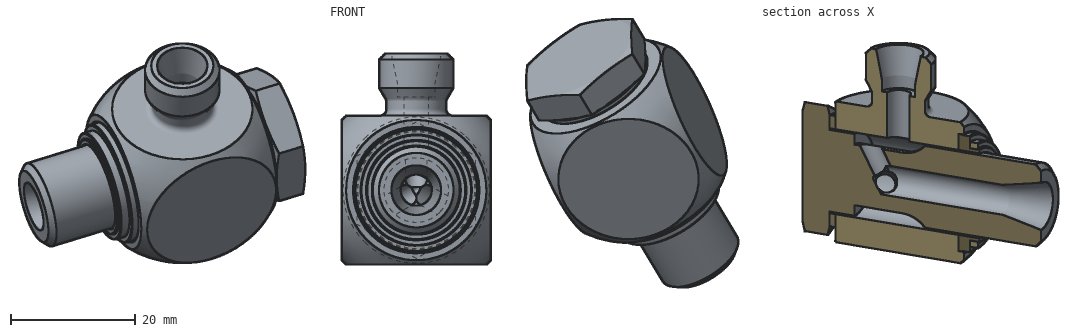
import cadquery as cq
import math


CUBE_SIDE = 24.0
HALF_SIDE = CUBE_SIDE / 2
BACK_FACE_Y = 11.53
CORNER_SPHERE_R = 16.5
BOLT_BORE_D = 14.35

STEM_TOP_Z = 22.0
STEM_COLLAR_D = 12.0
STEM_TOP_CHAMFER = 1.0
COLLAR_BOTTOM_Z = 16.5
STEM_NECK_D = 9.7
NECK_CONE_HALF_ANGLE = 30
NECK_CONE_BLEND_R = 0.8
STEM_ROOT_R = 1.0
PORT_D = 4.0

SEAT_HALF_ANGLE = 12
STEM_SEAT_MOUTH_D = 8.1
STEM_SEAT_D = 6.0
STEM_SEAT_DEPTH = 7.0

BOLT_FRONT_Y = -26.0
BOLT_BACK_Y = 17.5
SHANK_D = 14.0
SHANK_CHAMFER = 1.0
HEAD_FLATS = 19.05
HEAD_LENGTH = 5.0
HEAD_CHAMFER_ANGLE = 15
HEAD_FRONT_Y = BOLT_BACK_Y - HEAD_LENGTH

BOLT_SEAT_MOUTH_D = 8.0
BOLT_DRILL_D = 5.0
DRILL_TIP_HALF_ANGLE = 59
GROOVE_D = 10.4
GROOVE_FLOOR_FRONT_Y = -0.7
GROOVE_BACK_Y = 8.0
GROOVE_RAMP_R = 5.65
CROSS_HOLE_D = 3.5
CROSS_HOLE_COUNT = 3
CROSS_HOLE_TILT = 30
CROSS_HOLE_LENGTH = 7.18
CROSS_HOLE_START_Y = 2.0
DRILL_TIP_Y = CROSS_HOLE_START_Y + 2.6

FLANGE_D = 19.85
FLANGE_RECESS = 1.0
FLANGE_FRONT_Y = -13.1
RECESS_MOUTH_CHAMFER = 0.25
BUSH_NECK_D = 15.8
BUSH_FRONT_Y = -14.85
SEAL_D = 17.92
SEAL_FRONT_Y = -14.57
SEAL_BORE_CHAMFER = 0.195
WASHER_D = HEAD_FLATS
EDGE_CHAMFER = 0.15


def cylinder_y(diameter, y_start, y_end):
    """Solid cylinder on the Y axis."""
    sketch = cq.Workplane("XZ", origin=(0, y_start, 0)).circle(diameter / 2)
    return sketch.extrude(y_start - y_end)


def turn_about_y(profile):
    """Revolve an (x = radius, y) outline about the Y axis."""
    return profile.close().revolve(360, (0, 0, 0), (0, 1, 0))


def seat_cone_length(mouth_d, end_d):
    return (mouth_d - end_d) / 2 / math.tan(math.radians(SEAT_HALF_ANGLE))


def make_stem():
    """Pipe stem, turned about Z, with a necked-in root that flares into the housing top."""
    collar_r = STEM_COLLAR_D / 2
    neck_r = STEM_NECK_D / 2
    cone_angle = math.radians(NECK_CONE_HALF_ANGLE)
    cone_bottom_z = COLLAR_BOTTOM_Z - (collar_r - neck_r) / math.tan(cone_angle)
    blend = NECK_CONE_BLEND_R * math.tan(cone_angle / 2)
    blend_top = (neck_r + blend * math.sin(cone_angle), cone_bottom_z + blend * math.cos(cone_angle))
    blend_bottom = (neck_r, cone_bottom_z - blend)
    profile = (
        cq.Workplane("XZ")
        .lineTo(0, STEM_TOP_Z)
        .lineTo(collar_r - STEM_TOP_CHAMFER, STEM_TOP_Z)
        .lineTo(collar_r, STEM_TOP_Z - STEM_TOP_CHAMFER)
        .lineTo(collar_r, COLLAR_BOTTOM_Z)
        .lineTo(*blend_top)
        .radiusArc(blend_bottom, -NECK_CONE_BLEND_R)
        .lineTo(neck_r, HALF_SIDE + STEM_ROOT_R)
        .radiusArc((neck_r + STEM_ROOT_R, HALF_SIDE), -STEM_ROOT_R)
        .lineTo(neck_r + STEM_ROOT_R, 0)
    )
    return profile.close().revolve(360, (0, 0, 0), (0, 1, 0))


def make_stem_passage():
    """Conical pipe seat, straight pipe socket and the port down to the bolt bore."""
    seat_r = STEM_SEAT_D / 2
    cone_end_z = STEM_TOP_Z - seat_cone_length(STEM_SEAT_MOUTH_D, STEM_SEAT_D)
    floor_z = STEM_TOP_Z - STEM_SEAT_DEPTH
    profile = (
        cq.Workplane("XZ")
        .lineTo(0, STEM_TOP_Z)
        .lineTo(STEM_SEAT_MOUTH_D / 2, STEM_TOP_Z)
        .lineTo(seat_r, cone_end_z)
        .lineTo(seat_r, floor_z)
        .lineTo(PORT_D / 2, floor_z)
        .lineTo(PORT_D / 2, 0)
    )
    return profile.close().revolve(360, (0, 0, 0), (0, 1, 0))


def make_flange_recess():
    """Recess for the bush flange, chamfered at its mouth."""
    flange_r = FLANGE_D / 2
    floor_y = FLANGE_RECESS - HALF_SIDE
    profile = (
        cq.Workplane("XY")
        .moveTo(0, floor_y)
        .lineTo(flange_r, floor_y)
        .lineTo(flange_r, RECESS_MOUTH_CHAMFER - HALF_SIDE)
        .lineTo(flange_r + RECESS_MOUTH_CHAMFER, -HALF_SIDE)
        .lineTo(0, -HALF_SIDE)
    )
    return turn_about_y(profile)


def make_housing():
    """Cube rounded by a sphere and shortened at the back, with the stem on top."""
    length = HALF_SIDE + BACK_FACE_Y
    block = cq.Workplane("XY").box(CUBE_SIDE, length, CUBE_SIDE)
    block = block.translate((0, BACK_FACE_Y - length / 2, 0))
    block = block.intersect(cq.Workplane("XY").sphere(CORNER_SPHERE_R))
    housing = block.union(make_stem())
    housing = housing.cut(make_stem_passage())
    housing = housing.cut(cylinder_y(BOLT_BORE_D, -HALF_SIDE, BACK_FACE_Y))
    return housing.cut(make_flange_recess())


def make_bolt_head():
    """Hexagon with one corner up, both ends chamfered from the inscribed circle."""
    corner_d = HEAD_FLATS / math.cos(math.pi / 6)
    flat_r = HEAD_FLATS / 2
    corner_r = corner_d / 2
    chamfer = (corner_r - flat_r) * math.tan(math.radians(HEAD_CHAMFER_ANGLE))
    hexagon = (
        cq.Workplane("XZ", origin=(0, HEAD_FRONT_Y, 0))
        .transformed(rotate=(0, 0, 90))
        .polygon(6, corner_d)
        .extrude(-HEAD_LENGTH)
    )
    envelope = (
        cq.Workplane("XY")
        .moveTo(0, HEAD_FRONT_Y)
        .lineTo(flat_r, HEAD_FRONT_Y)
        .lineTo(corner_r, HEAD_FRONT_Y + chamfer)
        .lineTo(corner_r, BOLT_BACK_Y - chamfer)
        .lineTo(flat_r, BOLT_BACK_Y)
        .lineTo(0, BOLT_BACK_Y)
    )
    return hexagon.intersect(turn_about_y(envelope))


def make_bolt_shank():
    """Shank with a chamfered tip and a flow groove that ramps up in an arc toward the front."""
    shank_r = SHANK_D / 2
    groove_r = GROOVE_D / 2
    ramp_length = math.sqrt(GROOVE_RAMP_R**2 - (GROOVE_RAMP_R - shank_r + groove_r) ** 2)
    profile = (
        cq.Workplane("XY")
        .moveTo(0, BOLT_FRONT_Y)
        .lineTo(shank_r - SHANK_CHAMFER, BOLT_FRONT_Y)
        .lineTo(shank_r, BOLT_FRONT_Y + SHANK_CHAMFER)
        .lineTo(shank_r, GROOVE_FLOOR_FRONT_Y - ramp_length)
        .radiusArc((groove_r, GROOVE_FLOOR_FRONT_Y), GROOVE_RAMP_R)
        .lineTo(groove_r, GROOVE_BACK_Y)
        .lineTo(shank_r, GROOVE_BACK_Y)
        .lineTo(shank_r, HEAD_FRONT_Y)
        .lineTo(0, HEAD_FRONT_Y)
    )
    return turn_about_y(profile)


def make_bolt_drilling():
    """Pipe seat and blind drilling from the front end, closed by the drill-point cone."""
    drill_r = BOLT_DRILL_D / 2
    seat_end_y = BOLT_FRONT_Y + seat_cone_length(BOLT_SEAT_MOUTH_D, BOLT_DRILL_D)
    tip_length = drill_r / math.tan(math.radians(DRILL_TIP_HALF_ANGLE))
    profile = (
        cq.Workplane("XY")
        .moveTo(0, BOLT_FRONT_Y)
        .lineTo(BOLT_SEAT_MOUTH_D / 2, BOLT_FRONT_Y)
        .lineTo(drill_r, seat_end_y)
        .lineTo(drill_r, DRILL_TIP_Y - tip_length)
        .lineTo(0, DRILL_TIP_Y)
    )
    return turn_about_y(profile)


def make_bolt():
    """Hollow hexagon bolt with holes that slant backward from the drilling out to the groove."""
    bolt = make_bolt_shank().union(make_bolt_head()).cut(make_bolt_drilling())
    upright_hole = cq.Workplane("XY").circle(CROSS_HOLE_D / 2).extrude(CROSS_HOLE_LENGTH)
    slanted_hole = upright_hole.rotate((0, 0, 0), (1, 0, 0), -CROSS_HOLE_TILT)
    slanted_hole = slanted_hole.translate((0, CROSS_HOLE_START_Y, 0))
    for i in range(CROSS_HOLE_COUNT):
        angle = i * 360 / CROSS_HOLE_COUNT
        bolt = bolt.cut(slanted_hole.rotate((0, 0, 0), (0, 1, 0), angle))
    return bolt


def make_bush():
    """Flanged bush: the flange sits in the housing, the neck carries the seal ring."""
    flange = cylinder_y(FLANGE_D, FLANGE_FRONT_Y, FLANGE_RECESS - HALF_SIDE)
    flange = flange.faces("<Y").chamfer(EDGE_CHAMFER)
    neck = cylinder_y(BUSH_NECK_D, BUSH_FRONT_Y, FLANGE_FRONT_Y)
    bore = cylinder_y(BOLT_BORE_D, BUSH_FRONT_Y, FLANGE_RECESS - HALF_SIDE)
    return flange.union(neck).cut(bore)


def make_seal_ring():
    """Ring around the bush neck, with a chamfered front edge and bore mouth."""
    ring = cylinder_y(SEAL_D, SEAL_FRONT_Y, FLANGE_FRONT_Y).faces("<Y").chamfer(EDGE_CHAMFER)
    ring = ring.cut(cylinder_y(BUSH_NECK_D, SEAL_FRONT_Y, FLANGE_FRONT_Y))
    bore_mouth = ring.faces("<Y").edges(cq.selectors.RadiusNthSelector(0))
    return bore_mouth.chamfer(SEAL_BORE_CHAMFER)


def make_washer():
    """Flat washer between the bolt head and the housing."""
    disc = cylinder_y(WASHER_D, BACK_FACE_Y, HEAD_FRONT_Y).faces("<Y or >Y").chamfer(EDGE_CHAMFER)
    return disc.cut(cylinder_y(BOLT_BORE_D, BACK_FACE_Y, HEAD_FRONT_Y))


housing = make_housing().solids()
bolt = make_bolt().solids()
bush = make_bush().solids()
seal_ring = make_seal_ring().solids()
washer = make_washer().solids()

result = cq.Compound.makeCompound(
    [housing.val(), bolt.val(), bush.val(), seal_ring.val(), washer.val()]
)